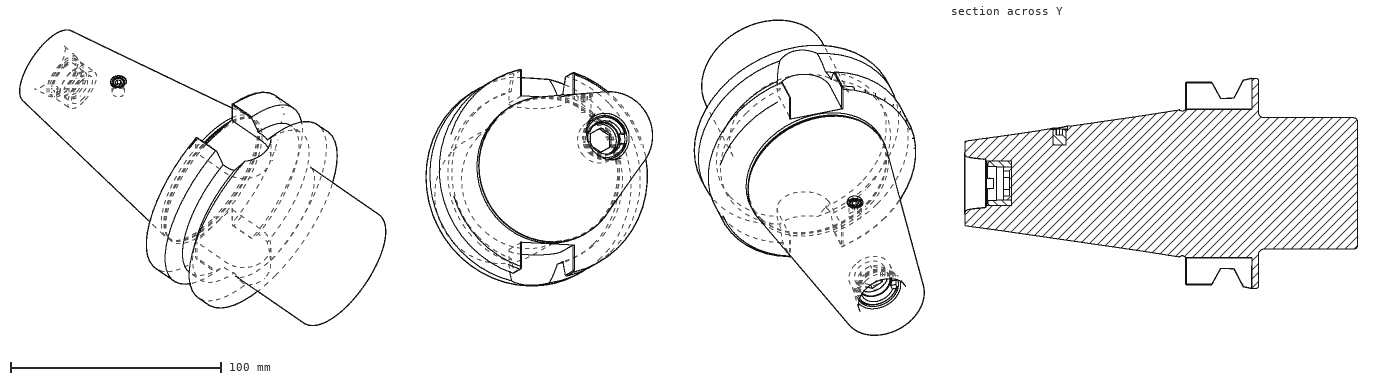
import cadquery as cq
import math

length = 186.8
flange_diameter = 100.0
flange_radius = flange_diameter / 2

taper_length = 102.0
taper_small_radius = 20.2
taper_slope = 7 / 24 / 2
taper_large_radius = taper_small_radius + taper_slope * taper_length
small_end_round = 1.0

relief_depth = 0.5
relief_ramp = 1.1

flange_start = 104.8
flange_end = 139.7
flange_round = 1.1
groove_radius = 42.4
groove_floor_start = 121.6
groove_floor_end = 128.0
groove_flank_angle = 30
groove_flank_run = (flange_radius - groove_radius) * math.tan(math.radians(groove_flank_angle))

nose_radius = 31.4
nose_round = 2.2

slot_width = 25.5
slot_floor_height = 35.3
slot_end = 136.4
slot_chamfer = 0.5

mouth_radius = 12.3
mouth_round = 2.0
mouth_depth = 9.9
mouth_end_radius = 11.4
seat_start = 10.5
seat_radius = 10.5

ring_front = 11.0
ring_length = 11.2
ring_back = ring_front + ring_length
ring_chamfer = 0.7
ring_inner_radius = 7.7
ring_counterbore_radius = 8.0
ring_counterbore_depth = 4.1
notch_width = 4.9
notch_depth = 2.8

plug_length = 3.7
plug_front = ring_back - plug_length
plug_socket_flats = 10.0
plug_socket_depth = 2.8

screw_x = 45.0
screw_radius = 3.0
screw_length = 7.5
screw_chamfer = 0.5
screw_socket_flats = 2.8
screw_socket_depth = 2.8
screw_mouth_radius = 3.7
screw_sink = 1.0
screw_surface = taper_small_radius + taper_slope * screw_x
screw_top = screw_surface - screw_sink
screw_bottom = screw_top - screw_length


def disc(start, end, radius):
    """Solid cylinder along X between two stations."""
    return cq.Workplane("YZ", origin=(start, 0, 0)).circle(radius).extrude(end - start)


def hex_prism(plane, origin, flats, depth):
    """Hexagonal prism with flats square to the plane's first axis."""
    half_sector = 30
    corner_diameter = flats / math.cos(math.radians(half_sector))
    workplane = cq.Workplane(plane, origin=origin).transformed(rotate=(0, 0, half_sector))
    return workplane.polygon(6, corner_diameter).extrude(depth)


def turned_body():
    """Taper, relief, grooved flange and nose as one turned profile."""
    neck = taper_large_radius - relief_depth
    profile = (
        cq.Workplane("XY")
        .moveTo(0, 0)
        .lineTo(0, taper_small_radius)
        .lineTo(taper_length, taper_large_radius)
        .lineTo(taper_length + relief_ramp, neck)
        .lineTo(flange_start - relief_ramp, neck)
        .lineTo(flange_start, taper_large_radius)
        .lineTo(flange_start, flange_radius - flange_round)
        .radiusArc((flange_start + flange_round, flange_radius), flange_round)
        .lineTo(groove_floor_start - groove_flank_run, flange_radius)
        .lineTo(groove_floor_start, groove_radius)
        .lineTo(groove_floor_end, groove_radius)
        .lineTo(groove_floor_end + groove_flank_run, flange_radius)
        .lineTo(flange_end - flange_round, flange_radius)
        .radiusArc((flange_end, flange_radius - flange_round), flange_round)
        .lineTo(flange_end, nose_radius + nose_round)
        .radiusArc((flange_end + nose_round, nose_radius), -nose_round)
        .lineTo(length, nose_radius)
        .lineTo(length, 0)
        .close()
    )
    body = profile.revolve(360, (0, 0, 0), (1, 0, 0))
    body = body.faces(">X").edges().fillet(nose_round)
    return body.faces("<X").edges().fillet(small_end_round)


def drive_slot(side):
    """Round-ended drive slot cutter; side is +1 for the top, -1 for the bottom."""
    arc_centre = slot_end - slot_width / 2
    depth = side * (flange_radius - slot_floor_height)
    workplane = cq.Workplane("XY", origin=(0, 0, side * slot_floor_height))
    run = workplane.moveTo(flange_start, -slot_width / 2)
    run = run.lineTo(arc_centre, -slot_width / 2)
    run = run.threePointArc((slot_end, 0), (arc_centre, slot_width / 2))
    return run.lineTo(flange_start, slot_width / 2).close().extrude(depth)


def bore():
    """Bore that narrows from a rounded mouth to the ring seat, ending flush behind the ring."""
    profile = (
        cq.Workplane("XY")
        .moveTo(0, 0)
        .lineTo(0, mouth_radius + mouth_round)
        .radiusArc((mouth_round, mouth_radius), -mouth_round)
        .lineTo(mouth_depth, mouth_end_radius)
        .lineTo(seat_start, seat_radius)
        .lineTo(ring_back, seat_radius)
        .lineTo(ring_back, 0)
        .close()
    )
    return profile.revolve(360, (0, 0, 0), (1, 0, 0))


def screw_hole():
    """Radial hole for the set screw, with a wider mouth at the taper surface."""
    base = cq.Workplane("XY", origin=(screw_x, 0, screw_bottom))
    shank = base.circle(screw_radius).extrude(screw_length)
    mouth = cq.Workplane("XY", origin=(screw_x, 0, screw_top))
    return shank.union(mouth.circle(screw_mouth_radius).extrude(2 * screw_sink))


def slot_chamfer_cutter(side):
    """Flared cutter that breaks the front and rim edges of a slot's straight side walls."""
    half_width = slot_width / 2
    flare = half_width + slot_chamfer
    rim_height = math.sqrt(flange_radius**2 - half_width**2)
    front = (
        cq.Workplane("XY", origin=(0, 0, side * slot_floor_height))
        .moveTo(flange_start, -flare)
        .lineTo(flange_start + slot_chamfer, -half_width)
        .lineTo(flange_start + slot_chamfer, half_width)
        .lineTo(flange_start, flare)
        .close()
        .extrude(side * (flange_radius - slot_floor_height))
    )
    rim = (
        cq.Workplane("YZ", origin=(flange_start, 0, 0))
        .moveTo(-half_width, side * (rim_height - slot_chamfer))
        .lineTo(half_width, side * (rim_height - slot_chamfer))
        .lineTo(flare + slot_chamfer, side * (rim_height + slot_chamfer))
        .lineTo(-flare - slot_chamfer, side * (rim_height + slot_chamfer))
        .close()
        .extrude(groove_floor_start - flange_start)
    )
    return front.union(rim)


def make_housing():
    """Tool holder body with bore, set screw hole and two opposite drive slots."""
    housing = turned_body().cut(bore()).cut(screw_hole())
    for side in (1, -1):
        housing = housing.cut(drive_slot(side)).cut(slot_chamfer_cutter(side))
    return housing


def make_ring():
    """Ring with a shallow counterbore and two driver notches in its front face."""
    ring = disc(ring_front, ring_back, seat_radius)
    ring = ring.faces("<X").edges().chamfer(ring_chamfer)
    ring = ring.cut(disc(ring_front, ring_back, ring_inner_radius))
    counterbore_floor = ring_front + ring_counterbore_depth
    ring = ring.cut(disc(ring_front, counterbore_floor, ring_counterbore_radius))
    notches = cq.Workplane("XY").box(2 * notch_depth, 2 * seat_radius, notch_width)
    return ring.cut(notches.translate((ring_front, 0, 0)))


def make_plug():
    """Round plug that fills the ring, with a hex socket."""
    plug = disc(plug_front, ring_back, ring_inner_radius)
    origin = (plug_front, 0, 0)
    return plug.cut(hex_prism("YZ", origin, plug_socket_flats, plug_socket_depth))


def make_set_screw():
    """Headless screw with a hex socket, lying along Z."""
    screw = cq.Workplane("XY", origin=(screw_x, 0, screw_bottom))
    screw = screw.circle(screw_radius).extrude(screw_length)
    screw = screw.faces(">Z").edges().chamfer(screw_chamfer)
    origin = (screw_x, 0, screw_top - screw_socket_depth)
    return screw.cut(hex_prism("XY", origin, screw_socket_flats, screw_socket_depth))


housing = make_housing()
ring = make_ring()
plug = make_plug()
set_screw = make_set_screw()

result = cq.Compound.makeCompound([housing.val(), ring.val(), plug.val(), set_screw.val()])